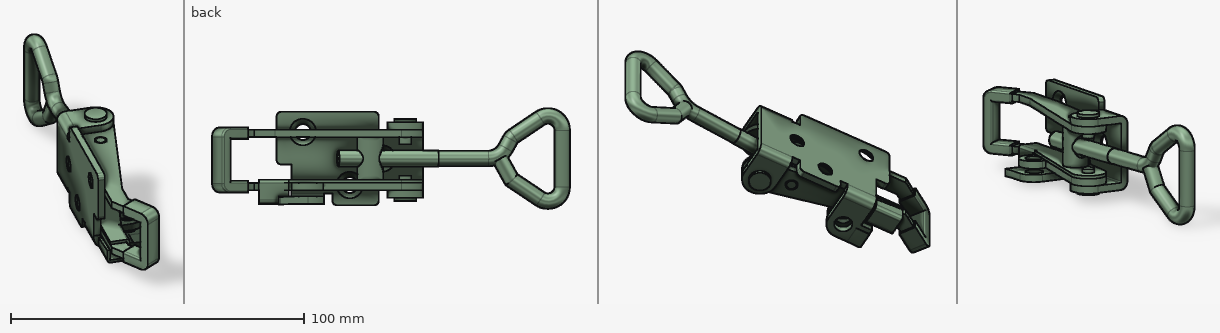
import cadquery as cq
import math


pivot_y = 12.0
mid_z = -0.5
side_radius = 6.1
padlock_x = 33.4
padlock_y = 13.5
padlock_hole_radius = 3.0

lap = 1.2
pick = 0.1

plate_thickness = 2.5
sheet_thickness = 2.6
ear_half_width = 13.0
ear_bend_radius = 2.9
neck_half_width = 10.0
plate_left = 9.0
plate_right = 44.0
plate_half_height = 16.0
upper_part_bottom = -2.1
step_right = 38.9
step_bottom = -12.0
foot_right = 24.9
plate_corner_radius = 1.7
screw_hole_radius = 2.7
screw_hole_land = 0.6
screw_holes = [(8.0, 0.0), (35.0, 9.0), (19.0, -9.0)]

tab_radius = 5.6
tab_top_extra = 0.2
tab_outer_z = -15.5
tab_bend_radius = 3.4
flag_left = 38.0
flag_right = 43.3
flag_bottom = 10.9
flag_bend_y = 12.7
flag_drop = 0.2
flag_corner_radius = 0.6

lever_half_width = 10.4
leg_thickness = 2.6
lever_clearance = 0.1
lever_bottom = plate_thickness + lever_clearance
lever_flat_top = 8.4
top_edge_angle = math.radians(12.4)
bottom_edge_angle = math.radians(5.4)
kink_x = 51.8
arm_angle = math.radians(34)
arm_width = 5.0
padlock_ear_radius = 5.4
trunnion_hole_radius = 2.1

grip_wall = 0.7
grip_start = 5.7
grip_end = 16.6
grip_bar = 3.7
grip_corner_radius = 3.2
grip_edge_radius = 0.6
lever_web = grip_bar - 2 * grip_wall

rivet_head_radius = 3.8
rivet_head_height = 1.1
rivet_shank_radius = 2.1
rivet_inner_end = 5.4
trunnion_x = 11.5
trunnion_y = 10.4
stub_radius = 1.7
barrel_x = 12.0
barrel_y = 9.8
barrel_radius = 4.4
mouth_radius = 3.9

rod_angle = math.radians(4.9)
thread_radius = 2.8
wire_radius = 2.7
thread_start = -22.7
rod_tip = 11.7
rod_chamfer = 0.5
loop_end = -65.2
loop_half_straight = 9.7
loop_corner_radius = 4.9
elbow = (-47.9, 7.2)
elbow_radius = 3.0
junction = -43.9
junction_radius = 7.0

catch_thickness = 1.1
catch_left = 39.7
catch_right = 50.0
catch_outer_z = -15.5
catch_bottom = 1.5
catch_bend_radius = 1.5
catch_top_radius = 1.0
lip_edge_left = -11.2
lip_edge_right = -10.4


def slab(sketch, z_low, z_high):
    """Extrude an XY outline between two heights."""
    return sketch.extrude(z_high - z_low).translate((0, 0, z_low))


def z_cylinder(x, y, radius, z_low, z_high):
    return slab(cq.Workplane("XY").center(x, y).circle(radius), z_low, z_high)


def block(x, y, z):
    """Axis-aligned box from (low, high) pairs."""
    size = [high - low for low, high in (x, y, z)]
    return cq.Workplane("XY").box(*size, centered=False).translate((x[0], y[0], z[0]))


def base_plate():
    outline = [
        (plate_left, plate_half_height), (plate_right, plate_half_height),
        (plate_right, upper_part_bottom), (step_right, upper_part_bottom),
        (step_right, step_bottom), (foot_right, step_bottom),
        (foot_right, -plate_half_height), (plate_left, -plate_half_height),
    ]
    plate = cq.Workplane("XZ").polyline(outline).close().extrude(-plate_thickness)
    for x, z in [(plate_left, plate_half_height), (plate_right, plate_half_height),
                 (plate_right, upper_part_bottom), (foot_right, -plate_half_height),
                 (plate_left, -plate_half_height)]:
        corner = cq.selectors.BoxSelector((x - pick, -lap, z - pick),
                                           (x + pick, plate_thickness + lap, z + pick))
        plate = plate.edges(corner).fillet(plate_corner_radius)
    neck = block((0, plate_left + lap), (0, plate_thickness),
                 (mid_z - neck_half_width, mid_z + neck_half_width))
    return plate.union(neck)


def base_ears():
    top = pivot_y + side_radius
    z_low, z_high = mid_z - ear_half_width, mid_z + ear_half_width
    channel = block((-side_radius, side_radius), (0, top), (z_low, z_high))
    channel = channel.edges("|X and <Y").fillet(ear_bend_radius)
    inside = block((-side_radius, side_radius), (plate_thickness, top),
                   (z_low + sheet_thickness, z_high - sheet_thickness))
    inside = inside.edges("|X and <Y").fillet(ear_bend_radius - plate_thickness)
    outline = (cq.Workplane("XY").moveTo(-side_radius, 0).lineTo(side_radius, 0).lineTo(side_radius, pivot_y)
               .threePointArc((0, top), (-side_radius, pivot_y)).close())
    return channel.cut(inside).intersect(slab(outline, z_low, z_high))


def base_padlock_tab():
    left, right = padlock_x - tab_radius, padlock_x + tab_radius
    top = padlock_y + tab_radius + tab_top_extra
    inner_z = tab_outer_z + sheet_thickness
    bend = block((left, right), (0, tab_bend_radius + lap), (tab_outer_z, step_bottom + lap))
    bend = bend.edges("|X and <Y and <Z").fillet(tab_bend_radius)
    hollow = block((left, right), (plate_thickness, tab_bend_radius + lap), (inner_z, step_bottom + lap))
    hollow = hollow.edges("|X and <Y and <Z").fillet(tab_bend_radius - sheet_thickness)
    upright = (cq.Workplane("XY").moveTo(left, tab_bend_radius).lineTo(right, tab_bend_radius)
               .lineTo(right, flag_bottom).lineTo(flag_right, flag_bottom).lineTo(flag_right, flag_bend_y)
               .lineTo(flag_left, flag_bend_y).lineTo(flag_left, top).lineTo(left + tab_radius, top)
               .tangentArcPoint((left, top - tab_radius), relative=False).close())
    flag = (cq.Workplane("XZ").polyline([(flag_left, inner_z), (flag_right, inner_z - flag_drop),
                                         (flag_right, tab_outer_z - flag_drop), (flag_left, tab_outer_z)])
            .close().extrude(flag_bend_y - top).translate((0, flag_bend_y, 0)))
    flag = flag.edges(">X and >Y").fillet(flag_corner_radius)
    return bend.cut(hollow).union(slab(upright, tab_outer_z, inner_z)).union(flag)


def screw_hole(x, z):
    """Through hole countersunk from the lever side of the plate."""
    hole = cq.Workplane("XZ").center(x, z).circle(screw_hole_radius).extrude(-plate_thickness)
    sink_depth = plate_thickness - screw_hole_land
    sink = cq.Solid.makeCone(screw_hole_radius, screw_hole_radius + sink_depth, sink_depth,
                             pnt=cq.Vector(x, screw_hole_land, z), dir=cq.Vector(0, 1, 0))
    return hole.union(cq.Workplane("XY").add(sink))


def make_base():
    base = base_plate().union(base_ears()).union(base_padlock_tab())
    for x, z in screw_holes:
        base = base.cut(screw_hole(x, z))
    ear_span = ear_half_width + lap
    base = base.cut(z_cylinder(0, pivot_y, rivet_shank_radius, mid_z - ear_span, mid_z + ear_span))
    return base.cut(z_cylinder(padlock_x, padlock_y, padlock_hole_radius, tab_outer_z - lap,
                               tab_outer_z + sheet_thickness + lap))


across_arm = cq.Vector(-math.sin(arm_angle), math.cos(arm_angle), 0)


def arm_point(along, across):
    """Point on the bent arm: distance along it and height above its lower edge."""
    return (kink_x + along * math.cos(arm_angle) - across * math.sin(arm_angle),
            lever_bottom + along * math.sin(arm_angle) + across * math.cos(arm_angle))


def arm_box(along, across, half_width):
    """Box aligned with the bent arm, symmetric about the middle plane."""
    plane = cq.Plane(origin=(kink_x, lever_bottom, mid_z),
                     xDir=(math.cos(arm_angle), math.sin(arm_angle), 0), normal=(0, 0, 1))
    return (cq.Workplane(plane).center(sum(along) / 2, sum(across) / 2)
            .rect(along[1] - along[0], across[1] - across[0]).extrude(half_width, both=True))


def round_far_corners(body, radius):
    """Round the two outer corners of the bar at the free end of the arm."""
    return body.edges(cq.selectors.ParallelDirSelector(across_arm)).edges(">X").fillet(radius)


def lever_outline():
    top_tangent = (side_radius * math.sin(top_edge_angle), pivot_y + side_radius * math.cos(top_edge_angle))
    top_end = (top_tangent[0] + (top_tangent[1] - lever_flat_top) / math.tan(top_edge_angle), lever_flat_top)
    low_tangent = (-side_radius * math.sin(bottom_edge_angle),
                   pivot_y - side_radius * math.cos(bottom_edge_angle))
    low_end = (low_tangent[0] + (low_tangent[1] - lever_bottom) / math.tan(bottom_edge_angle), lever_bottom)
    upper_kink_along = ((lever_flat_top - lever_bottom - arm_width * math.cos(arm_angle))
                        / math.sin(arm_angle))
    arm_end = grip_end - grip_wall
    return (cq.Workplane("XY").moveTo(*top_tangent).lineTo(*top_end)
            .lineTo(*arm_point(upper_kink_along, arm_width)).lineTo(*arm_point(arm_end, arm_width))
            .lineTo(*arm_point(arm_end, 0)).lineTo(kink_x, lever_bottom).lineTo(*low_end)
            .lineTo(*low_tangent).threePointArc((-side_radius, pivot_y), top_tangent).close())


def make_lever():
    inner = lever_half_width - leg_thickness
    lower_leg = (mid_z - lever_half_width, mid_z - inner)
    upper_leg = (mid_z + inner, mid_z + lever_half_width)
    arm_end = grip_end - grip_wall
    lever = slab(lever_outline(), *lower_leg).union(slab(lever_outline(), *upper_leg))
    lever = lever.union(arm_box((arm_end - lever_web, arm_end), (0, arm_width), inner))
    lever = round_far_corners(lever, grip_corner_radius - grip_wall)
    padlock_ear = z_cylinder(padlock_x, padlock_y, padlock_ear_radius, *lower_leg).union(
        block((padlock_x - padlock_ear_radius, padlock_x + padlock_ear_radius),
              (lever_flat_top - lap, padlock_y), lower_leg))
    lever = lever.union(padlock_ear)
    span = (mid_z - lever_half_width, mid_z + lever_half_width)
    lever = lever.cut(z_cylinder(padlock_x, padlock_y, padlock_hole_radius, *lower_leg))
    lever = lever.cut(z_cylinder(0, pivot_y, rivet_shank_radius, *span))
    return lever.cut(z_cylinder(trunnion_x, trunnion_y, trunnion_hole_radius, *span))


def make_grip(lever):
    across = (-grip_wall, arm_width + grip_wall)
    grip = arm_box((grip_start, grip_end), across, lever_half_width + grip_wall)
    grip = round_far_corners(grip, grip_corner_radius)
    opening_half = lever_half_width - leg_thickness - grip_wall
    opening = arm_box((grip_start, grip_end - grip_bar), across, opening_half)
    grip = grip.cut(opening)
    grip = grip.faces(cq.selectors.DirectionMinMaxSelector(across_arm)).edges().fillet(grip_edge_radius)
    bar_middle_x = arm_point(grip_end - grip_bar / 2, -grip_wall)[0]
    lower_face = grip.faces(cq.selectors.DirectionMinMaxSelector(across_arm, directionMax=False))
    rim = lower_face.edges().filter(
        lambda edge: abs(edge.Center().z - mid_z) < opening_half + pick and edge.Center().x < bar_middle_x)
    grip = rim.fillet(grip_edge_radius)
    return grip.cut(lever)


def make_rivet(side):
    """Headed rivet through one ear and one leg; side is +1 (upper) or -1 (lower)."""
    shank = z_cylinder(0, pivot_y, rivet_shank_radius, rivet_inner_end, ear_half_width)
    head = z_cylinder(0, pivot_y, rivet_head_radius, ear_half_width, ear_half_width + rivet_head_height)
    rivet = shank.union(head)
    if side < 0:
        rivet = rivet.mirror("XY")
    return rivet.translate((0, 0, mid_z))


rod_direction = cq.Vector(math.cos(rod_angle), math.sin(rod_angle), 0)
rod_plane = cq.Plane(origin=(trunnion_x, trunnion_y, 0), xDir=rod_direction,
                     normal=rod_direction.cross(cq.Vector(0, 0, 1)))


def rod_cylinder(start, end, radius):
    plane = cq.Plane(origin=rod_plane.toWorldCoords((start, 0, 0)), xDir=(0, 0, 1), normal=rod_direction)
    return cq.Workplane(plane).circle(radius).extrude(end - start)


def turned(point, length, angle):
    return (point[0] + length * math.cos(angle), point[1] + length * math.sin(angle))


def make_rod():
    thread = rod_cylinder(thread_start, rod_tip, thread_radius).faces(">X").chamfer(rod_chamfer)

    corner = (loop_end + loop_corner_radius, loop_half_straight)
    reach = math.hypot(elbow[0] - corner[0], elbow[1] - corner[1])
    slope = (math.atan2(elbow[1] - corner[1], elbow[0] - corner[0])
             - math.asin(loop_corner_radius / reach))
    corner_end = turned(corner, loop_corner_radius, slope + math.pi / 2)
    corner_mid = turned(corner, loop_corner_radius, slope / 2 + 3 * math.pi / 4)
    inner_slope = math.atan2(-elbow[1], junction - elbow[0])
    elbow_trim = elbow_radius * math.tan((slope - inner_slope) / 2)
    junction_trim = junction_radius * math.tan(-inner_slope / 2)

    def below(point):
        return (point[0], -point[1])

    path = (cq.Workplane(rod_plane).moveTo(thread_start, 0).lineTo(junction + junction_trim, 0)
            .tangentArcPoint(turned((junction, 0), -junction_trim, inner_slope), relative=False)
            .lineTo(*turned(elbow, elbow_trim, inner_slope))
            .tangentArcPoint(turned(elbow, -elbow_trim, slope), relative=False)
            .lineTo(*corner_end)
            .threePointArc(corner_mid, (loop_end, loop_half_straight))
            .lineTo(loop_end, -loop_half_straight)
            .threePointArc(below(corner_mid), below(corner_end))
            .lineTo(*below(elbow)).lineTo(junction, 0))
    section_plane = cq.Plane(origin=rod_plane.toWorldCoords((thread_start, 0, 0)), xDir=(0, 0, 1),
                             normal=rod_direction)
    loop = cq.Workplane(section_plane).circle(wire_radius).sweep(path, transition="right")
    return thread.union(loop)


def make_trunnion():
    inner = lever_half_width - leg_thickness
    barrel = z_cylinder(barrel_x, barrel_y, barrel_radius, mid_z - inner + catch_thickness, mid_z + inner)
    stubs = z_cylinder(trunnion_x, trunnion_y, stub_radius,
                       mid_z - lever_half_width, mid_z + lever_half_width)
    mouth_position = barrel_x - barrel_radius - trunnion_x
    mouth = cq.Solid.makeCone(mouth_radius, 0, mouth_radius, dir=rod_direction,
                              pnt=rod_plane.toWorldCoords((mouth_position, 0, 0)))
    countersink = cq.Workplane("XY").add(mouth)
    return barrel.union(stubs).cut(countersink).cut(rod_cylinder(-rod_tip, rod_tip, thread_radius))


def catch_channel(leg_inner, inner_z):
    """Channel clipped around the lower leg, with a finger lip turned under it."""
    x = (catch_left, catch_right)
    top = lever_flat_top + catch_thickness
    channel = block(x, (catch_bottom, top), (catch_outer_z, inner_z))
    channel = channel.edges("|X and <Z").fillet(catch_bend_radius)
    channel = channel.edges("|X and >Y and >Z").fillet(catch_top_radius)
    cavity = block(x, (catch_bottom + catch_thickness, lever_flat_top),
                   (catch_outer_z + catch_thickness, leg_inner))
    slot = (cq.Workplane("XZ").polyline([(catch_left, lip_edge_left), (catch_right, lip_edge_right),
                                         (catch_right, inner_z), (catch_left, inner_z)])
            .close().extrude(-(catch_bottom + catch_thickness)))
    return channel.cut(cavity).cut(slot)


def make_catch(lever):
    """Thin plate along the inside of the lower leg, ending in the channel."""
    leg_inner = mid_z - lever_half_width + leg_thickness
    inner_z = leg_inner + catch_thickness
    plate = slab(lever_outline(), leg_inner, inner_z)
    plate = plate.intersect(block((-side_radius, catch_left), (0, pivot_y + side_radius),
                                  (leg_inner, inner_z)))
    catch = plate.union(catch_channel(leg_inner, inner_z)).cut(lever)
    catch = catch.cut(z_cylinder(0, pivot_y, rivet_shank_radius, leg_inner, inner_z))
    return catch.cut(z_cylinder(trunnion_x, trunnion_y, stub_radius, leg_inner, inner_z))


base = make_base()
lever = make_lever()
grip = make_grip(lever)
rivets = [make_rivet(side) for side in (1, -1)]
rod = make_rod()
trunnion = make_trunnion()
catch = make_catch(lever)

result = cq.Compound.makeCompound([
    base.val(), lever.val(), grip.val(), rod.val(), trunnion.val(), catch.val(),
    *[rivet.val() for rivet in rivets],
])